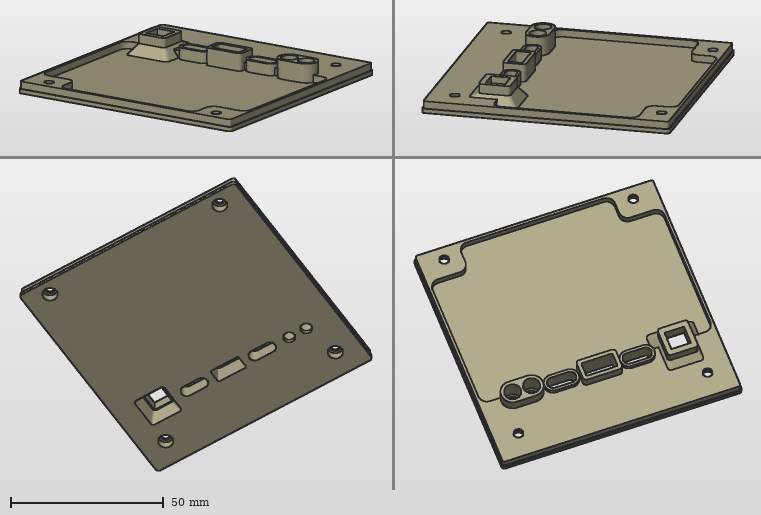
import cadquery as cq
base_side = 83.8
base_thickness = 1.5
block_side = 83.0
plate_height = 4.0
plate_corner_radius = 1.2
block_corner_radius = plate_corner_radius - (base_side - block_side) / 2

floor_z = 1.5
recess_side = 81.0
recess_back_y = 18.4
recess_corner_radius = 3.0
corner_pad_x = 26.8
corner_pad_y = -30.7

screw_x = 33.0
screw_back_y = 33.0
screw_front_y = -37.0
screw_diameter = 3.2
screw_head_diameter = 5.0
screw_land = 1.0

row_y = 19.8

port_x = -0.15
port_length = 10.9
port_width = 5.0
port_wall = 1.4
port_corner_radius = 1.2
port_opening_radius = 0.5
port_top_z = 7.5

slot_offset = 13.2
slot_length = 10.0
slot_width = 4.0
slot_wall = 1.0
slot_top_z = 5.5

jack_x = 26.85
jack_pitch = 6.6
jack_collar_diameter = 8.0
jack_bore_diameter = 5.6
jack_hole_diameter = 4.0
jack_top_z = 8.0

square_x = -27.5
square_y = 19.75
square_length_x = 10.5
square_length_y = 10.7
square_corner_radius = 1.0
square_opening_x = 6.8
square_opening_y = 6.5
square_top_z = 8.5
foot_top_z = 5.25
foot_side_slope = 0.79
foot_front_slope = 0.75
foot_back_slope = 2.35
foot_corner_radius = 1.8
hollow_margin = 2.4
hollow_taper = 25.0
hollow_top_z = 4.3
hollow_corner_radius = 1.0


def rounded_block(length_x, length_y, radius, bottom_z, top_z):
    """Upright rectangular block, centred on the Z axis, with rounded corners."""
    block = cq.Workplane("XY").workplane(offset=bottom_z).rect(length_x, length_y)
    return block.extrude(top_z - bottom_z).edges("|Z").fillet(radius)


def obround(length, width, x, bottom_z, top_z):
    """Upright prism with a slot-shaped section, centred on the connector row."""
    section = cq.Workplane("XY").workplane(offset=bottom_z).center(x, row_y)
    return section.slot2D(length, width).extrude(top_z - bottom_z)


def cylinders(points, diameter, bottom_z, top_z):
    """Upright cylinders at the given points."""
    plane = cq.Workplane("XY").workplane(offset=bottom_z)
    return plane.pushPoints(points).circle(diameter / 2).extrude(top_z - bottom_z)


def make_plate():
    base = rounded_block(base_side, base_side, plate_corner_radius, 0, base_thickness)
    block = rounded_block(block_side, block_side, block_corner_radius, base_thickness, plate_height)
    return base.union(block)


def make_recess():
    side = recess_side / 2
    outline = [
        (-side, recess_back_y),
        (side, recess_back_y),
        (side, corner_pad_y),
        (corner_pad_x, corner_pad_y),
        (corner_pad_x, -side),
        (-corner_pad_x, -side),
        (-corner_pad_x, corner_pad_y),
        (-side, corner_pad_y),
    ]
    recess = cq.Workplane("XY").workplane(offset=floor_z).polyline(outline).close()
    return recess.extrude(plate_height - floor_z).edges("|Z").fillet(recess_corner_radius)


def cut_screw_holes(body):
    points = [(sx * screw_x, y) for sx in (-1, 1) for y in (screw_back_y, screw_front_y)]
    body = body.cut(cylinders(points, screw_diameter, 0, plate_height))
    return body.cut(cylinders(points, screw_head_diameter, 0, plate_height - screw_land))


def add_slots(body):
    for x in (port_x - slot_offset, port_x + slot_offset):
        outer_length = slot_length + 2 * slot_wall
        outer_width = slot_width + 2 * slot_wall
        body = body.union(obround(outer_length, outer_width, x, 0, slot_top_z))
        body = body.cut(obround(slot_length, slot_width, x, 0, slot_top_z))
    return body


def add_port(body):
    outer_length = port_length + 2 * port_wall
    outer_width = port_width + 2 * port_wall
    collar = rounded_block(outer_length, outer_width, port_corner_radius, 0, port_top_z)
    opening = rounded_block(port_length, port_width, port_opening_radius, 0, port_top_z)
    place = (port_x, row_y, 0)
    return body.union(collar.translate(place)).cut(opening.translate(place))


def add_jacks(body):
    points = [(jack_x + side * jack_pitch / 2, row_y) for side in (-1, 1)]
    collar_length = jack_pitch + jack_collar_diameter
    body = body.union(obround(collar_length, jack_collar_diameter, jack_x, 0, jack_top_z))
    body = body.cut(cylinders(points, jack_hole_diameter, 0, jack_top_z))
    return body.cut(cylinders(points, jack_bore_diameter, base_thickness, jack_top_z))


def make_foot():
    """Foot widening downwards from the square collar, most of all towards +Y."""
    drop = foot_top_z - floor_z
    side_run = drop * foot_side_slope
    front_run = drop * foot_front_slope
    back_run = drop * foot_back_slope
    shift_y = (back_run - front_run) / 2
    upper = cq.Workplane("XY").workplane(offset=foot_top_z).center(square_x, square_y)
    upper = upper.rect(square_length_x, square_length_y)
    lower = upper.workplane(offset=-drop).center(0, shift_y)
    lower = lower.rect(square_length_x + 2 * side_run, square_length_y + front_run + back_run)
    return lower.loft(ruled=True).edges("not(#Z)").fillet(foot_corner_radius)


def make_hollow():
    """Space under the square opening, widening evenly down to the underside."""
    length_x = square_opening_x + 2 * hollow_margin
    length_y = square_opening_y + 2 * hollow_margin
    hollow = cq.Workplane("XY").center(square_x, square_y).rect(length_x, length_y)
    hollow = hollow.extrude(hollow_top_z, taper=hollow_taper)
    return hollow.edges("not(#Z)").fillet(hollow_corner_radius)


def add_square_collar(body):
    place = (square_x, square_y, 0)
    collar = rounded_block(square_length_x, square_length_y, square_corner_radius, foot_top_z, square_top_z)
    opening = cq.Workplane("XY").rect(square_opening_x, square_opening_y).extrude(square_top_z)
    body = body.union(make_foot()).union(collar.translate(place))
    return body.cut(opening.translate(place)).cut(make_hollow())


result = make_plate().cut(make_recess())
result = add_slots(result)
result = add_port(result)
result = add_jacks(result)
result = add_square_collar(result)
result = cut_screw_holes(result)